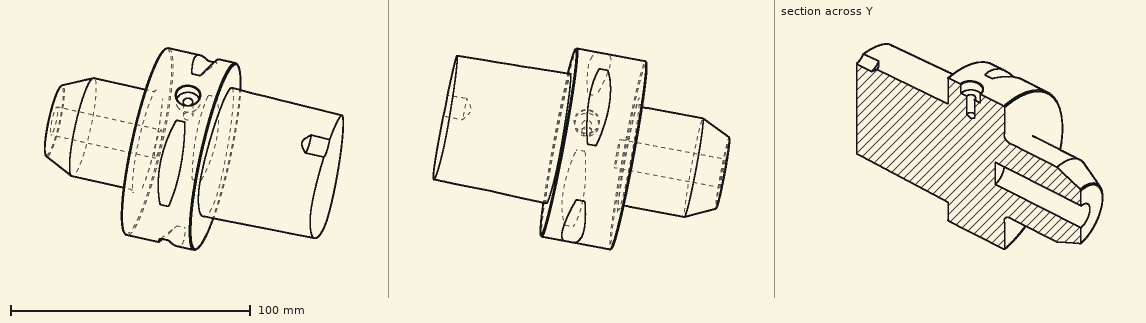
import cadquery as cq
import math


FLANGE_RADIUS = 40.0
FLANGE_WIDTH = 30.0
FLANGE_CHAMFER = 0.5

NOSE_LENGTH = 40.0
NOSE_RADIUS = 21.0
NOSE_TIP_RADIUS = 15.25
NOSE_TIP_X = -FLANGE_WIDTH - NOSE_LENGTH
NOSE_CONE_LENGTH = 12.5
NOSE_TIP_CHAMFER_LENGTH = 0.3
NOSE_TIP_CHAMFER_DEPTH = 0.65
BORE_DIAMETER = 12.0
BORE_DEPTH = 45.0

RELIEF_RADIUS = 20.9
RELIEF_START = 4.0
RELIEF_RUN_IN = 0.4
RELIEF_FILLET = 3.0
RELIEF_UNDERCUT = 0.3
RELIEF_OUTER_RADIUS = 25.1

SHANK_LENGTH = 48.0
SHANK_RADIUS = 27.5
SHANK_LOBE = 2.1
SHANK_TAPER = 1 / 40
OUTLINE_STEPS = 36

KEY_RADIUS = 6.0
KEY_FLOOR_HEIGHT = 21.8
KEY_LENGTH = 8.0

SLOT_ANGLES = (45, 135, 225, 315)
SLOT_FLOOR_RADIUS = 35.6
SLOT_X = -11.85
SLOT_FLOOR_WIDTH = 2.8
SLOT_FILLET = 0.75
SLOT_FLANK_ANGLE = 30.0

SCREW_X = -12.0
SCREW_DIAMETER = 10.0
SCREW_CHAMFER = 0.25
SCREW_FLOOR_HEIGHT = 35.0
PILOT_DIAMETER = 4.0
PILOT_DEPTH = 10.0
DRILL_POINT_ANGLE = 118.0

CLEARANCE = 1.0


def body_of_revolution():
    """Nose, relief groove and flange turned about the X axis."""
    face_x = -FLANGE_WIDTH
    relief_x = face_x - RELIEF_START
    fillet_end_x = face_x + RELIEF_UNDERCUT
    fillet_center_x = fillet_end_x - RELIEF_FILLET
    fillet_center_r = RELIEF_RADIUS + RELIEF_FILLET
    fillet_mid = RELIEF_FILLET * math.sqrt(0.5)
    profile = (
        cq.Workplane("XY")
        .moveTo(NOSE_TIP_X, 0)
        .lineTo(NOSE_TIP_X, NOSE_TIP_RADIUS - NOSE_TIP_CHAMFER_DEPTH)
        .lineTo(NOSE_TIP_X + NOSE_TIP_CHAMFER_LENGTH, NOSE_TIP_RADIUS)
        .lineTo(NOSE_TIP_X + NOSE_CONE_LENGTH, NOSE_RADIUS)
        .lineTo(relief_x, NOSE_RADIUS)
        .lineTo(relief_x + RELIEF_RUN_IN, RELIEF_RADIUS)
        .lineTo(fillet_center_x, RELIEF_RADIUS)
        .threePointArc(
            (fillet_center_x + fillet_mid, fillet_center_r - fillet_mid),
            (fillet_end_x, fillet_center_r),
        )
        .lineTo(face_x, RELIEF_OUTER_RADIUS)
        .lineTo(face_x, FLANGE_RADIUS - FLANGE_CHAMFER)
        .lineTo(face_x + FLANGE_CHAMFER, FLANGE_RADIUS)
        .lineTo(-FLANGE_CHAMFER, FLANGE_RADIUS)
        .lineTo(0, FLANGE_RADIUS - FLANGE_CHAMFER)
        .lineTo(0, 0)
        .close()
    )
    return profile.revolve(360, (0, 0, 0), (1, 0, 0))


def shank_outline(x):
    """Closed three-lobed wire in the plane at x, found from its support function."""
    radius = SHANK_RADIUS - SHANK_TAPER * x
    points = []
    for step in range(OUTLINE_STEPS):
        angle = 2 * math.pi * step / OUTLINE_STEPS
        support = radius + SHANK_LOBE * math.cos(3 * angle)
        slope = -3 * SHANK_LOBE * math.sin(3 * angle)
        toward_lobe = support * math.cos(angle) - slope * math.sin(angle)
        sideways = support * math.sin(angle) + slope * math.cos(angle)
        points.append(cq.Vector(x, sideways, -toward_lobe))
    return cq.Wire.assembleEdges([cq.Edge.makeSpline(points, periodic=True)])


def shank():
    wires = [shank_outline(0), shank_outline(SHANK_LENGTH)]
    return cq.Workplane(cq.Solid.makeLoft(wires, True))


def key_groove():
    """Round-bottomed groove, open at the shank end, with a conical inner end."""
    axis_z = KEY_FLOOR_HEIGHT + KEY_RADIUS
    inner_x = SHANK_LENGTH - KEY_LENGTH
    return (
        cq.Workplane("XZ", origin=(0, 0, axis_z))
        .moveTo(inner_x - KEY_RADIUS, 0)
        .lineTo(inner_x, KEY_RADIUS)
        .lineTo(SHANK_LENGTH + CLEARANCE, KEY_RADIUS)
        .lineTo(SHANK_LENGTH + CLEARANCE, 0)
        .close()
        .revolve(360, (0, 0, 0), (1, 0, 0))
    )


def gripper_slot(angle):
    """Straight slot with flared flanks, cut across the flange rim at the given angle about X."""
    top = FLANGE_RADIUS + CLEARANCE
    flare = (top - SLOT_FLOOR_RADIUS) * math.tan(math.radians(SLOT_FLANK_ANGLE))
    fillet_setback = SLOT_FILLET * math.tan(math.radians(90 - SLOT_FLANK_ANGLE) / 2)
    half_floor = SLOT_FLOOR_WIDTH / 2 + fillet_setback
    half_top = half_floor + flare
    corners = [
        (SLOT_X - half_floor, SLOT_FLOOR_RADIUS),
        (SLOT_X + half_floor, SLOT_FLOOR_RADIUS),
        (SLOT_X + half_top, top),
        (SLOT_X - half_top, top),
    ]
    cutter = (
        cq.Workplane("XZ")
        .polyline(corners)
        .close()
        .extrude(FLANGE_RADIUS, both=True)
        .faces("<Z")
        .edges("|Y")
        .fillet(SLOT_FILLET)
    )
    return cutter.rotate((0, 0, 0), (1, 0, 0), angle)


def screw_hole():
    """Flat-bottomed hole from +Z."""
    return (
        cq.Workplane("XY", origin=(SCREW_X, 0, SCREW_FLOOR_HEIGHT))
        .circle(SCREW_DIAMETER / 2)
        .extrude(FLANGE_RADIUS + CLEARANCE - SCREW_FLOOR_HEIGHT)
    )


def pilot_hole():
    """Drilled hole with a conical tip in the floor of the screw hole."""
    radius = PILOT_DIAMETER / 2
    tip = radius / math.tan(math.radians(DRILL_POINT_ANGLE / 2))
    return (
        cq.Workplane("XZ", origin=(SCREW_X, 0, SCREW_FLOOR_HEIGHT))
        .moveTo(0, CLEARANCE)
        .lineTo(radius, CLEARANCE)
        .lineTo(radius, -PILOT_DEPTH)
        .lineTo(0, -PILOT_DEPTH - tip)
        .close()
        .revolve(360, (0, 0, 0), (0, 1, 0))
    )


def tool_bore():
    return cq.Workplane("YZ", origin=(NOSE_TIP_X, 0, 0)).circle(BORE_DIAMETER / 2).extrude(BORE_DEPTH)


def chamfer_screw_mouth(part):
    """Break the rim where the screw hole meets the flange cylinder."""
    reach = SCREW_DIAMETER / 2 + CLEARANCE
    mouth = cq.selectors.BoxSelector(
        (SCREW_X - reach, -reach, FLANGE_RADIUS - CLEARANCE),
        (SCREW_X + reach, reach, FLANGE_RADIUS + CLEARANCE),
        boundingbox=True,
    )
    return part.edges(mouth).chamfer(SCREW_CHAMFER)


result = body_of_revolution().union(shank())
result = result.cut(screw_hole())
result = chamfer_screw_mouth(result)
result = result.cut(pilot_hole()).cut(tool_bore()).cut(key_groove())
for slot_angle in SLOT_ANGLES:
    result = result.cut(gripper_slot(slot_angle))